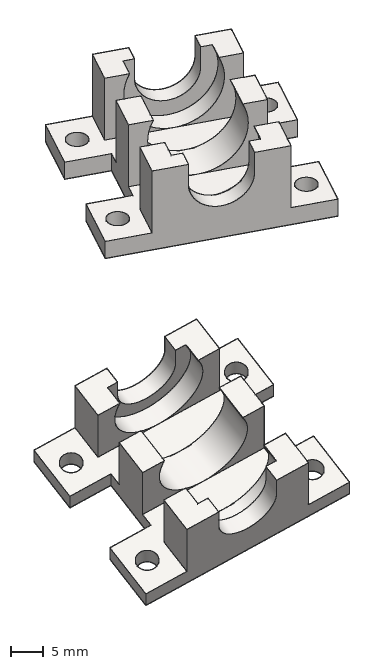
import cadquery as cq

length = 31.1
width = 37.0
height = 14.97

tab_length = 10.0
body_width = 22.1
hole_diameter = 3.6
hole_side_inset = 5.0
hole_end_inset = 3.5

axis_height = 11.25
seat_radius = 8.0
shaft_radius = 5.25
base_thickness = axis_height - seat_radius

end_post_length = 6.4
middle_post_length = 6.5
lip_thickness = 3.0

notch_length = length - 2 * tab_length
hole_spacing_x = length - 2 * hole_side_inset
hole_spacing_y = width - 2 * hole_end_inset
post_height = height - base_thickness
end_post_x = (length - end_post_length) / 2


def make_base():
    """Plate with a mounting hole in each corner tab and a notch between tabs."""
    tabs = cq.Workplane("XY").box(length, width, base_thickness, centered=(True, True, False))
    between_tabs = cq.Workplane("XY").box(notch_length, width, base_thickness, centered=(True, True, False))
    body = cq.Workplane("XY").box(length, body_width, base_thickness, centered=(True, True, False))
    return (
        tabs.cut(between_tabs)
        .union(body)
        .faces(">Z")
        .workplane(origin=(0, 0, base_thickness))
        .rarray(hole_spacing_x, hole_spacing_y, 2, 2)
        .hole(hole_diameter)
    )


def make_post(center_x, post_length):
    """Solid block standing on the plate, centred at center_x."""
    return (
        cq.Workplane("XY", origin=(center_x, 0, base_thickness))
        .box(post_length, body_width, post_height, centered=(True, True, False))
    )


def make_seat():
    """Round bearing seat between the two lips, narrowing above its axis."""
    seat_length = length - 2 * lip_thickness
    return (
        cq.Workplane("YZ", origin=(-seat_length / 2, 0, 0))
        .center(0, axis_height)
        .circle(seat_radius)
        .extrude(seat_length)
    )


def make_shaft_slot():
    """Full-length U slot with a round bottom, open at the post tops."""
    return (
        cq.Workplane("YZ", origin=(-length / 2, 0, 0))
        .moveTo(-shaft_radius, height)
        .lineTo(-shaft_radius, axis_height)
        .threePointArc((0, axis_height - shaft_radius), (shaft_radius, axis_height))
        .lineTo(shaft_radius, height)
        .close()
        .extrude(length)
    )


posts = (
    make_post(-end_post_x, end_post_length)
    .union(make_post(0, middle_post_length))
    .union(make_post(end_post_x, end_post_length))
    .cut(make_seat())
    .cut(make_shaft_slot())
)

result = make_base().union(posts)